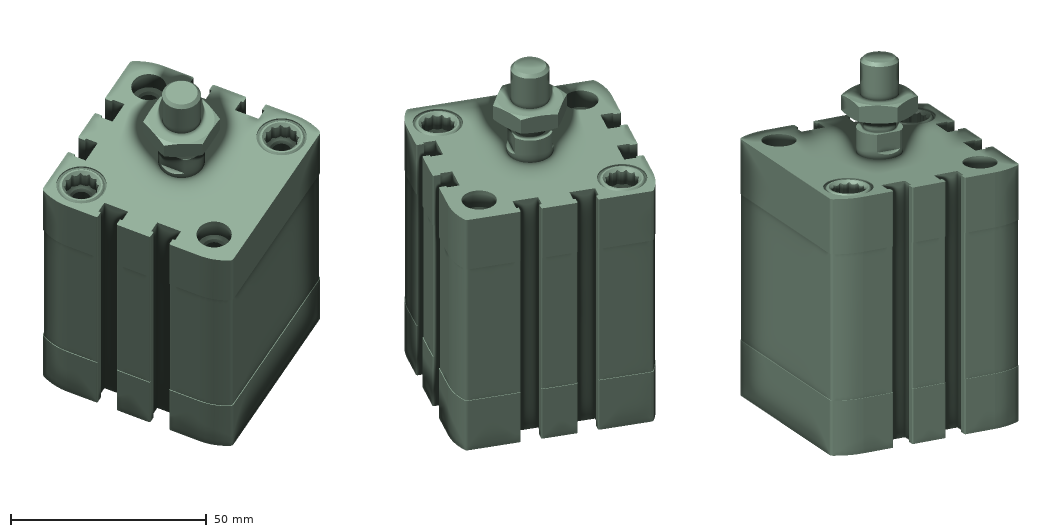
import cadquery as cq
import math

HOUSING_WIDTH = 54.5
HOUSING_HEIGHT = 70.0
CAP_HEIGHT = 15.0
BARREL_INSET = 0.2
HOLE_SPACING = 38.0
HOLE_OFFSET = HOLE_SPACING / 2
CORNER_ARC_RADIUS = 15.5
CORNER_FILLET = 1.1

SLOT_OFFSET = 7.6
SLOT_MOUTH = 5.5
SLOT_WIDTH = 6.8
SLOT_DEPTH = 5.4
SLOT_LIP = 2.0
SLOT_MOUTH_FILLET = 0.4

BORE_DIAMETER = 4.9
BORE_CHAMFER_DIAMETER = 6.0
COUNTERBORE_DIAMETER = 9.0
COUNTERBORE_DEPTH = 5.0
SOCKET_RING_DIAMETER = 12.8
SOCKET_DEPTH = 4.7
SOCKET_BEVEL_DIAMETER = 11.9
SOCKET_RIM_DIAMETER = 10.9
SOCKET_RING_DEPTH = 0.5
SOCKET_FUNNEL_DIAMETER = 10.0
SOCKET_LAND_DIAMETER = 8.2
SOCKET_TIP_DIAMETER = 9.1
SOCKET_GROOVES = 12
SOCKET_GROOVE_WIDTH = 1.2

TOTAL_HEIGHT = 95.7
ROD_DIAMETER = 12.0
COLLAR_TOP = 76.7
THREAD_DIAMETER = 10.0
THREAD_ROOT_DIAMETER = 8.2
NECK_BASE_DIAMETER = 8.5
NECK_FLARE_DIAMETER = 8.4
NECK_FLARE_END = 77.3
NECK_FLARE_START = 77.9
RUNOUT_END = 78.2
FLATS_ACROSS = 10.0
FLATS_BOTTOM = 71.8
FLATS_RAMP_ANGLE = 30.0

NUT_ACROSS_FLATS = 17.0
NUT_HEIGHT = 5.0
NUT_BOTTOM = 80.7
NUT_FACE_DIAMETER = 16.8
NUT_CORNER_DROP = 0.5


def revolved(profile):
    """Solid of revolution about Z from (radius, z) points."""
    return cq.Workplane("XZ").polyline(profile).close().revolve(360, (0, 0, 0), (0, 1, 0))


def housing_section(inset, bottom, height):
    """Slice of the housing with bowed corners and T-slots, its faces drawn in by the inset."""
    half = HOUSING_WIDTH / 2 - inset
    arc_radius = CORNER_ARC_RADIUS - inset
    arc_run = half - HOLE_OFFSET
    arc_angle = math.asin(arc_run / arc_radius)
    arc_center_y = half - arc_radius

    def arc_point(angle):
        return HOLE_OFFSET + arc_radius * math.sin(angle), arc_center_y + arc_radius * math.cos(angle)

    mid_x, mid_y = arc_point(arc_angle / 2)
    end_x, end_y = arc_point(arc_angle)
    block = (
        cq.Workplane("XY", origin=(0, 0, bottom))
        .moveTo(-HOLE_OFFSET, half)
        .lineTo(HOLE_OFFSET, half)
        .threePointArc((mid_x, mid_y), (end_x, end_y))
        .lineTo(end_x, -end_y)
        .threePointArc((mid_x, -mid_y), (HOLE_OFFSET, -half))
        .lineTo(-HOLE_OFFSET, -half)
        .threePointArc((-mid_x, -mid_y), (-end_x, -end_y))
        .lineTo(-end_x, end_y)
        .threePointArc((-mid_x, mid_y), (-HOLE_OFFSET, half))
        .close()
        .extrude(height)
    )
    block = block.edges("|Z and (<X or >X)").fillet(CORNER_FILLET)
    slot = t_slot(half)
    for angle in (0, 90, 180):
        for offset in (-SLOT_OFFSET, SLOT_OFFSET):
            block = block.cut(slot.translate((offset, 0, 0)).rotate((0, 0, 0), (0, 0, 1), angle))
    return block


def t_slot(face):
    """Cutting tool for a T-slot opening through a face at this +Y distance, its mouth edges rounded."""
    mouth = SLOT_MOUTH / 2
    half_width = SLOT_WIDTH / 2
    floor = HOUSING_WIDTH / 2 - SLOT_DEPTH
    lip = HOUSING_WIDTH / 2 - SLOT_LIP
    flare = mouth + SLOT_MOUTH_FILLET
    arc_start = face - SLOT_MOUTH_FILLET
    arc_shift = SLOT_MOUTH_FILLET * (1 - math.sqrt(0.5))
    return (
        cq.Workplane("XY")
        .moveTo(-half_width, floor)
        .lineTo(half_width, floor)
        .lineTo(half_width, lip)
        .lineTo(mouth, lip)
        .lineTo(mouth, arc_start)
        .threePointArc((mouth + arc_shift, face - arc_shift), (flare, face))
        .lineTo(-flare, face)
        .threePointArc((-mouth - arc_shift, face - arc_shift), (-mouth, arc_start))
        .lineTo(-mouth, lip)
        .lineTo(-half_width, lip)
        .close()
        .extrude(HOUSING_HEIGHT)
    )


def stepped_hole(mouth_diameter, mouth_depth):
    """Through bore with a chamfered step and a wider mouth at the top, cutting tool on the Z axis."""
    floor = HOUSING_HEIGHT - mouth_depth
    bore = BORE_DIAMETER / 2
    chamfer = BORE_CHAMFER_DIAMETER / 2
    mouth = mouth_diameter / 2
    return revolved([
        (0, 0),
        (bore, 0),
        (bore, floor - (chamfer - bore)),
        (chamfer, floor),
        (mouth, floor),
        (mouth, HOUSING_HEIGHT),
        (0, HOUSING_HEIGHT),
    ])


def socket_hole():
    """Stepped hole with a grooved socket, a funnel mouth and a ring recess around its bevelled rim."""
    land = SOCKET_LAND_DIAMETER / 2
    tip = SOCKET_TIP_DIAMETER / 2
    funnel = SOCKET_FUNNEL_DIAMETER / 2
    rim = SOCKET_RIM_DIAMETER / 2
    bevel = SOCKET_BEVEL_DIAMETER / 2
    ring = SOCKET_RING_DIAMETER / 2
    half_groove = SOCKET_GROOVE_WIDTH / 2
    top = HOUSING_HEIGHT
    groove = (
        cq.Workplane("XY", origin=(0, 0, top - SOCKET_DEPTH))
        .polyline([(0, -half_groove), (land, -half_groove), (tip, 0), (land, half_groove), (0, half_groove)])
        .close()
        .extrude(SOCKET_DEPTH)
    )
    tool = stepped_hole(SOCKET_LAND_DIAMETER, SOCKET_DEPTH)
    for index in range(SOCKET_GROOVES):
        tool = tool.union(groove.rotate((0, 0, 0), (0, 0, 1), index * 360 / SOCKET_GROOVES))
    tool = tool.union(revolved([(0, top), (funnel, top), (0, top - funnel)]))
    ring_floor = top - SOCKET_RING_DEPTH
    tool = tool.union(revolved([(rim, top), (ring, top), (ring, ring_floor), (bevel, ring_floor)]))
    return tool


def make_housing():
    barrel_height = HOUSING_HEIGHT - 2 * CAP_HEIGHT
    housing = (
        housing_section(0, 0, CAP_HEIGHT)
        .union(housing_section(BARREL_INSET, CAP_HEIGHT, barrel_height))
        .union(housing_section(0, HOUSING_HEIGHT - CAP_HEIGHT, CAP_HEIGHT))
    )
    plain = stepped_hole(COUNTERBORE_DIAMETER, COUNTERBORE_DEPTH)
    socket = socket_hole()
    for side in (-1, 1):
        housing = housing.cut(plain.translate((side * HOLE_OFFSET, -side * HOLE_OFFSET, 0)))
        housing = housing.cut(socket.translate((side * HOLE_OFFSET, side * HOLE_OFFSET, 0)))
    return housing


def make_rod():
    """Rod end standing on the housing: collar with wrench flats, neck and threaded end."""
    rod_radius = ROD_DIAMETER / 2
    thread = THREAD_DIAMETER / 2
    root = THREAD_ROOT_DIAMETER / 2
    rod = revolved([
        (0, HOUSING_HEIGHT),
        (rod_radius, HOUSING_HEIGHT),
        (rod_radius, COLLAR_TOP),
        (NECK_BASE_DIAMETER / 2, COLLAR_TOP),
        (NECK_FLARE_DIAMETER / 2, NECK_FLARE_END),
        (root, NECK_FLARE_START),
        (root, RUNOUT_END),
        (thread, NUT_BOTTOM),
        (thread, TOTAL_HEIGHT - (thread - root)),
        (root, TOTAL_HEIGHT),
        (0, TOTAL_HEIGHT),
    ])
    flat = FLATS_ACROSS / 2
    ramp_drop = (rod_radius - flat) * math.tan(math.radians(FLATS_RAMP_ANGLE))
    flat_cutter = (
        cq.Workplane("YZ")
        .polyline([(flat, FLATS_BOTTOM), (rod_radius, FLATS_BOTTOM - ramp_drop),
                   (rod_radius, COLLAR_TOP), (flat, COLLAR_TOP)])
        .close()
        .extrude(rod_radius, both=True)
    )
    return rod.cut(flat_cutter).cut(flat_cutter.mirror("XZ"))


def make_nut():
    """Hexagon nut with bevelled corners on both faces and a plain bore on the thread."""
    corner_diameter = NUT_ACROSS_FLATS / math.cos(math.radians(30))
    corner = corner_diameter / 2
    face = NUT_FACE_DIAMETER / 2
    top = NUT_BOTTOM + NUT_HEIGHT
    hexagon = (
        cq.Workplane("XY", origin=(0, 0, NUT_BOTTOM))
        .polygon(6, corner_diameter)
        .extrude(NUT_HEIGHT)
        .rotate((0, 0, 0), (0, 0, 1), 90)
    )
    bore = THREAD_DIAMETER / 2
    bevelled_ring = revolved([
        (bore, NUT_BOTTOM),
        (face, NUT_BOTTOM),
        (corner, NUT_BOTTOM + NUT_CORNER_DROP),
        (corner, top - NUT_CORNER_DROP),
        (face, top),
        (bore, top),
    ])
    return hexagon.intersect(bevelled_ring)


housing = make_housing()
rod = make_rod()
nut = make_nut()
result = cq.Compound.makeCompound([housing.val(), rod.val(), nut.val()])